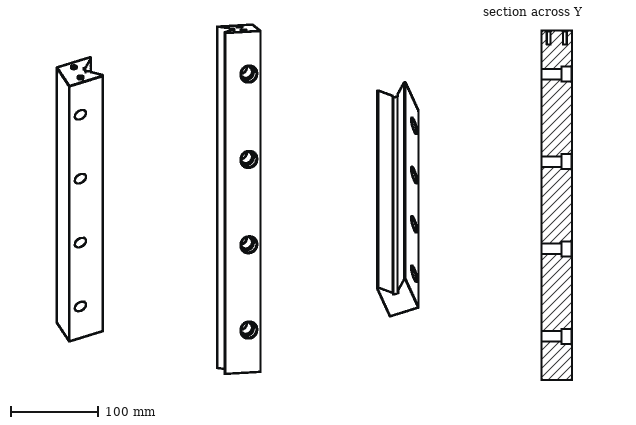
import cadquery as cq

width = 35.0
depth = 42.5
length = 400.0

groove_half_width = 15.5
relief_half_width = 3.0
relief_floor_depth = 15.0

edge_break = 0.5

mount_count = 4
mount_pitch = length / mount_count
mount_offset_y = 14.0
mount_diameter = 14.0
counterbore_diameter = 18.5
counterbore_depth = 12.0
counterbore_chamfer = 1.0

end_hole_spacing = 19.0
end_hole_offset_y = 18.0
end_hole_diameter = 4.0
end_countersink_diameter = 7.0
end_countersink_angle = 90
end_hole_depth = 16.0


def make_grooved_bar():
    half_width = width / 2
    flank_depth = groove_half_width - relief_half_width
    left_side = [
        (-half_width, 0),
        (-half_width, depth),
        (-groove_half_width, depth),
        (-relief_half_width, depth - flank_depth),
        (-relief_half_width, depth - relief_floor_depth),
    ]
    right_side = [(-x, y) for x, y in reversed(left_side)]
    return cq.Workplane("XY").polyline(left_side + right_side).close().extrude(length)


def break_outer_edges(body):
    return body.edges("<X or >X or <Y").chamfer(edge_break)


def make_mounting_hole(height):
    bore_radius = mount_diameter / 2
    pocket_radius = counterbore_diameter / 2
    section = [
        (0, 0),
        (0, pocket_radius + counterbore_chamfer),
        (counterbore_chamfer, pocket_radius),
        (counterbore_depth, pocket_radius),
        (counterbore_depth, bore_radius),
        (width, bore_radius),
        (width, 0),
    ]
    hole = cq.Workplane("XY").polyline(section).close().revolve(360, (0, 0, 0), (1, 0, 0))
    return hole.translate((-width / 2, mount_offset_y, height))


def drill_end_holes(body):
    centres = [(side * end_hole_spacing / 2, end_hole_offset_y) for side in (-1, 1)]
    return (
        body.faces(">Z")
        .workplane(origin=(0, 0, length))
        .pushPoints(centres)
        .cskHole(end_hole_diameter, end_countersink_diameter, end_countersink_angle, depth=end_hole_depth)
    )


bar = break_outer_edges(make_grooved_bar())
for i in range(mount_count):
    bar = bar.cut(make_mounting_hole((i + 0.5) * mount_pitch))
result = drill_end_holes(bar)